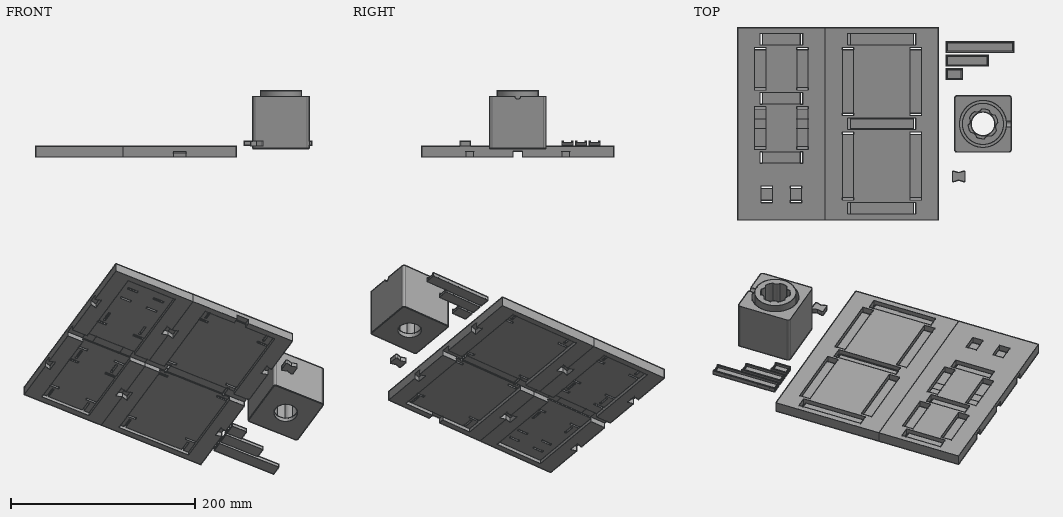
import cadquery as cq
import math

long_segment = 73.5
medium_segment = 46.0
short_segment = 17.7
pocket_width = 12.3
pocket_depth = 5.0
pocket_gap = 3.0
slit_width = 2.25

plate_length = 208.8
plate_thickness = 12.0
small_plate_width = 95.0
large_plate_width = 123.0
small_plate_center = small_plate_width / 2
large_plate_center = small_plate_width + large_plate_width / 2
end_margin = 6.3
top_pocket_y = plate_length / 2 - end_margin - pocket_width / 2
dot_pocket_y = -76.5
dot_offset = 16.0

channel_width = 10.2
channel_height = 6.3
recess_height = 4.5
cable_notch_width = 13.8

key_length = 13.8
key_end_width = 12.5
key_waist = 8.5
key_corner_radius = 1.2
key_height = 5.5
key_center = (240.0, -57.0)
key_bottom = 12.0
key_slot_y = plate_length / 4

bar_start_x = 226.5
bar_width = 12.0
bar_pitch = 14.7
first_bar_y = 83.5
bar_bottom = 12.5
bar_height = 4.8
bar_wall = 1.5
bar_floor = 2.0
bar_end_drop = 1.8

block_side = 61.5
block_height = 57.0
block_bottom = 9.0
block_center_x = 266.5
block_corner_radius = 2.7
block_bottom_chamfer = 0.5
block_floor = 5.5
bore_diameter = 51.0
outlet_diameter = 25.5
groove_radius = 3.15
bushing_diameter = 44.7
bushing_rise = 6.0
socket_diameter = 32.5
rib_count = 6
rib_radius = 6.0
rib_center_radius = 20.0
rib_start_angle = 50.0


def box(width, length, height, x, y, z):
    """Box centred on (x, y) with its bottom at z."""
    return cq.Workplane("XY").box(width, length, height, centered=(True, True, False)).translate((x, y, z))


def segment_pocket(length, x, y, upright):
    """Cutter for one segment pocket with a through slit at each end."""
    cutter = box(length, pocket_width, pocket_depth, 0, 0, plate_thickness - pocket_depth)
    slit_offset = (length - slit_width) / 2
    for side in (-1, 1):
        cutter = cutter.union(box(slit_width, pocket_width, plate_thickness, side * slit_offset, 0, 0))
    if upright:
        cutter = cutter.rotate((0, 0, 0), (0, 0, 1), 90)
    return cutter.translate((x, y, 0))


def cut_digit(plate, length, center_x):
    """Cut the seven segment pockets of one digit."""
    pitch = length + pocket_width + 2 * pocket_gap
    for row in range(3):
        plate = plate.cut(segment_pocket(length, center_x, top_pocket_y - row * pitch, False))
    for row in range(2):
        for side in (-1, 1):
            x = center_x + side * length / 2
            y = top_pocket_y - (row + 0.5) * pitch
            plate = plate.cut(segment_pocket(length, x, y, True))
    return plate


def bow_tie(height):
    """Bow-tie prism centred on the origin, narrowest at X = 0."""
    x = key_length / 2
    y = key_end_width / 2
    waist = key_waist / 2
    outline = [(-x, -y), (0, -waist), (x, -y), (x, y), (0, waist), (-x, y)]
    return cq.Workplane("XY").polyline(outline).close().extrude(height)


def base_plate(left, width, segment_length):
    """Plate with the channel, wiring recess and key slots in its underside."""
    center_x = left + width / 2
    recess_width = segment_length + pocket_width
    recess_length = plate_length - 2 * end_margin
    plate = box(width, plate_length, plate_thickness, center_x, 0, 0)
    plate = plate.cut(box(width, channel_width, channel_height, center_x, 0, 0))
    plate = plate.cut(box(recess_width, recess_length, recess_height, center_x, 0, 0))
    for edge_x in (left, left + width):
        for slot_y in (-key_slot_y, key_slot_y):
            plate = plate.cut(bow_tie(channel_height).translate((edge_x, slot_y, 0)))
    return plate


def small_digit_plate():
    plate = cut_digit(base_plate(0, small_plate_width, medium_segment), medium_segment, small_plate_center)
    for side in (-1, 1):
        x = small_plate_center + side * dot_offset
        plate = plate.cut(segment_pocket(short_segment, x, dot_pocket_y, True))
    return plate


def large_digit_plate():
    plate = base_plate(small_plate_width, large_plate_width, long_segment)
    plate = cut_digit(plate, long_segment, large_plate_center)
    notch_y = (end_margin - plate_length) / 2
    notch = box(cable_notch_width, end_margin, channel_height, large_plate_center, notch_y, 0)
    return plate.cut(notch)


def segment_bar(length, y):
    """Tray-shaped bar: full-height side walls, lower end walls and a thin floor."""
    x = bar_start_x + length / 2
    inner_width = bar_width - 2 * bar_wall
    bar = box(length, bar_width, bar_height, x, y, bar_bottom)
    bar = bar.cut(box(length - 2 * bar_wall, inner_width, bar_height, x, y, bar_bottom + bar_floor))
    return bar.cut(box(length, inner_width, bar_end_drop, x, y, bar_bottom + bar_height - bar_end_drop))


def connector_key():
    key = bow_tie(key_height)
    key = key.edges("|Z and (<X or >X)").fillet(key_corner_radius)
    return key.translate((*key_center, key_bottom))


def housing_block():
    """Square block with a blind bore, an outlet in its floor and a groove in the top."""
    top = block_bottom + block_height
    block = box(block_side, block_side, block_height, block_center_x, 0, block_bottom)
    block = block.edges("|Z").fillet(block_corner_radius)
    block = block.faces("<Z").chamfer(block_bottom_chamfer)
    axis = cq.Workplane("XY").center(block_center_x, 0)
    block = block.cut(axis.circle(outlet_diameter / 2).extrude(top))
    bore = axis.workplane(offset=block_bottom + block_floor).circle(bore_diameter / 2)
    block = block.cut(bore.extrude(block_height))
    groove = cq.Workplane("YZ", origin=(block_center_x, 0, top)).circle(groove_radius)
    return block.cut(groove.extrude(block_side))


def bushing():
    """Round bushing standing on the floor of the bore, with a six-ribbed socket through it."""
    bottom = block_bottom + block_floor
    height = block_height - block_floor + bushing_rise
    sleeve = cq.Workplane("XY").circle(bushing_diameter / 2).extrude(height)
    socket = cq.Workplane("XY").circle(socket_diameter / 2).extrude(height)
    for rib in range(rib_count):
        angle = math.radians(rib_start_angle + rib * 360 / rib_count)
        x = rib_center_radius * math.cos(angle)
        y = rib_center_radius * math.sin(angle)
        socket = socket.cut(cq.Workplane("XY").center(x, y).circle(rib_radius).extrude(height))
    sleeve = sleeve.cut(socket)
    return sleeve.translate((block_center_x, 0, bottom))


bar_lengths = (long_segment, medium_segment, short_segment)
bars = [segment_bar(length, first_bar_y - row * bar_pitch) for row, length in enumerate(bar_lengths)]

result = cq.Compound.makeCompound([
    small_digit_plate().val(),
    large_digit_plate().val(),
    *[bar.val() for bar in bars],
    connector_key().val(),
    housing_block().val(),
    bushing().val(),
])